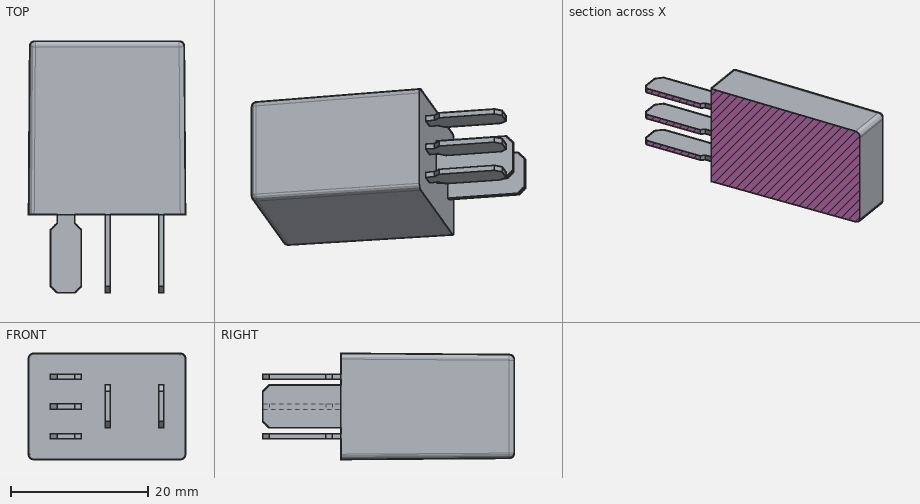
import cadquery as cq

total_length = 36.7
blade_length = 11.4
body_length = total_length - blade_length
body_width = 22.9
body_height = 15.5
draft_angle = 0.4
edge_radius = 0.8

blade_thickness = 0.77
tip_chamfer = 0.95
small_width = 4.5
small_x = -6.0
small_pitch = 4.33
neck_length = 1.3
large_width = 6.28
large_x = 0.1
large_pitch = 7.78


def make_body():
    """Drafted box with rounded long edges and a rounded closed end."""
    base = cq.Workplane("XZ").rect(body_width, body_height)
    body = base.extrude(-body_length, taper=draft_angle)
    return body.edges("not <Y").fillet(edge_radius)


def make_large_blade(x):
    """Upright blade with chamfered tip corners."""
    blade = cq.Workplane("XY").box(
        blade_thickness, blade_length, large_width, centered=(True, False, True)
    )
    blade = blade.faces("<Y").edges("|X").chamfer(tip_chamfer)
    return blade.translate((x, -blade_length, 0))


def make_small_blade(z):
    """Flat blade with a narrow neck at the base and chamfered tip corners."""
    half_width = small_width / 2
    half_narrow = half_width - tip_chamfer
    shoulder_end = neck_length + tip_chamfer
    right_side = [
        (half_narrow, 0),
        (half_narrow, -neck_length),
        (half_width, -shoulder_end),
        (half_width, tip_chamfer - blade_length),
        (half_narrow, -blade_length),
    ]
    left_side = [(-x, y) for x, y in reversed(right_side)]
    outline = cq.Workplane("XY").polyline(right_side + left_side).close()
    blade = outline.extrude(blade_thickness / 2, both=True)
    return blade.translate((small_x, 0, z))


result = make_body()
for row in (-1, 0, 1):
    result = result.union(make_small_blade(row * small_pitch))
for column in (0, 1):
    result = result.union(make_large_blade(large_x + column * large_pitch))